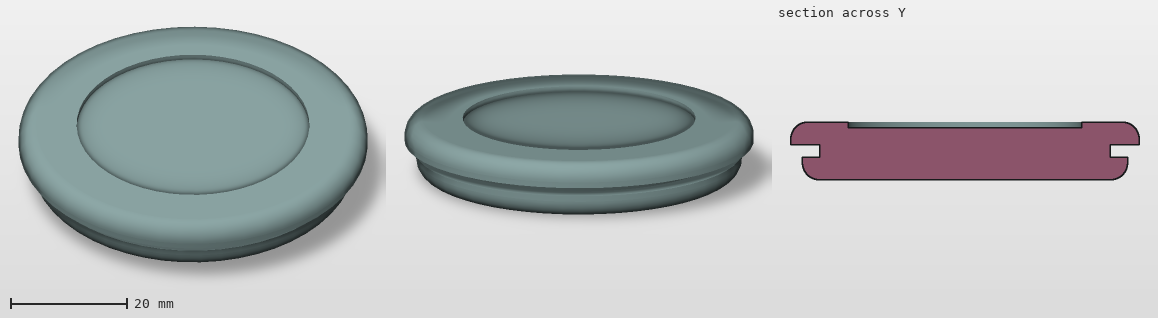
import cadquery as cq

upper_diameter = 60.0
lower_diameter = 56.0
neck_diameter = 50.0
flange_thickness = 4.0
neck_height = 2.0
rounding_radius = 3.0

recess_diameter = 40.0
recess_depth = 1.0

neck_bottom = flange_thickness
neck_top = neck_bottom + neck_height
total_height = neck_top + flange_thickness


def disc(diameter, thickness, base_height):
    """Plain disc centred on the Z axis, standing on base_height."""
    return cq.Workplane("XY").workplane(offset=base_height).circle(diameter / 2).extrude(thickness)


lower_flange = disc(lower_diameter, flange_thickness, 0).faces("<Z").edges().fillet(rounding_radius)
neck = disc(neck_diameter, neck_height, neck_bottom)
upper_flange = disc(upper_diameter, flange_thickness, neck_top).faces(">Z").edges().fillet(rounding_radius)
recess = disc(recess_diameter, recess_depth, total_height - recess_depth)

result = lower_flange.union(neck).union(upper_flange).cut(recess)